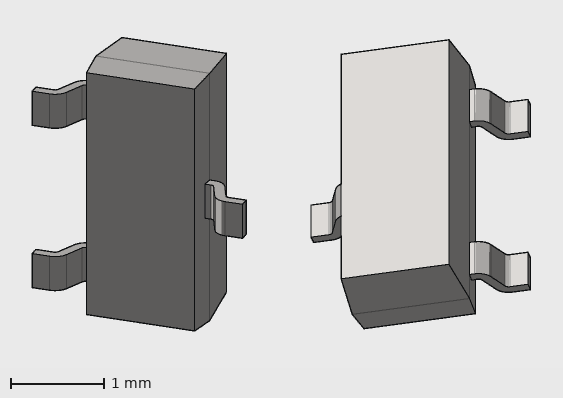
import cadquery as cq
import math

BODY_WIDTH = 1.3
BODY_LENGTH = 2.9
BODY_FRONT_Y = 0.1
PARTING_Y = 0.475
BODY_BACK_Y = 1.14
FRONT_INSET = 0.032
BACK_INSET = 0.052

LEAD_SPAN = 2.4
LEAD_WIDTH = 0.4
LEAD_THICKNESS = 0.12
LEAD_PITCH = 1.902
FOOT_LENGTH = 0.2
BEND_SPACING = 0.295
INNER_RADIUS = 0.05
OUTER_RADIUS = INNER_RADIUS + LEAD_THICKNESS

BEND_RISE = PARTING_Y - 2 * OUTER_RADIUS
LEG_LENGTH = math.sqrt(BEND_SPACING**2 + BEND_RISE**2 - (INNER_RADIUS + OUTER_RADIUS)**2)
LEG_ANGLE = math.atan2(BEND_RISE, BEND_SPACING) + math.atan2(INNER_RADIUS + OUTER_RADIUS, LEG_LENGTH)


def body_half(end_y, inset):
    """Loft from the parting plane to a smaller rectangle at end_y."""
    return (
        cq.Workplane("XZ", origin=(0, PARTING_Y, 0))
        .rect(BODY_WIDTH, BODY_LENGTH)
        .workplane(offset=PARTING_Y - end_y)
        .rect(BODY_WIDTH - 2 * inset, BODY_LENGTH - 2 * inset)
        .loft(ruled=True)
    )


def make_body():
    front_half = body_half(BODY_FRONT_Y, FRONT_INSET)
    back_half = body_half(BODY_BACK_Y, BACK_INSET)
    return front_half.union(back_half)


def bend_point(center, radius, angle, side):
    """Point on a bend; side is -1 for the foot bend and +1 for the shoulder bend."""
    return (
        center[0] - side * radius * math.sin(angle),
        center[1] + side * radius * math.cos(angle),
    )


def make_left_lead(center_z, body):
    """Lead on the -X side, ending flush against the tapered body wall."""
    tip_x = -LEAD_SPAN / 2
    foot_bend = (tip_x + FOOT_LENGTH, OUTER_RADIUS)
    shoulder_bend = (foot_bend[0] + BEND_SPACING, PARTING_Y - OUTER_RADIUS)
    inside_body_x = FRONT_INSET - BODY_WIDTH / 2
    half_angle = LEG_ANGLE / 2

    lead = (
        cq.Workplane("XY", origin=(0, 0, center_z))
        .moveTo(tip_x, 0)
        .lineTo(*bend_point(foot_bend, OUTER_RADIUS, 0, -1))
        .threePointArc(
            bend_point(foot_bend, OUTER_RADIUS, half_angle, -1),
            bend_point(foot_bend, OUTER_RADIUS, LEG_ANGLE, -1),
        )
        .lineTo(*bend_point(shoulder_bend, INNER_RADIUS, LEG_ANGLE, 1))
        .threePointArc(
            bend_point(shoulder_bend, INNER_RADIUS, half_angle, 1),
            bend_point(shoulder_bend, INNER_RADIUS, 0, 1),
        )
        .lineTo(inside_body_x, PARTING_Y - LEAD_THICKNESS)
        .lineTo(inside_body_x, PARTING_Y)
        .lineTo(*bend_point(shoulder_bend, OUTER_RADIUS, 0, 1))
        .threePointArc(
            bend_point(shoulder_bend, OUTER_RADIUS, half_angle, 1),
            bend_point(shoulder_bend, OUTER_RADIUS, LEG_ANGLE, 1),
        )
        .lineTo(*bend_point(foot_bend, INNER_RADIUS, LEG_ANGLE, -1))
        .threePointArc(
            bend_point(foot_bend, INNER_RADIUS, half_angle, -1),
            bend_point(foot_bend, INNER_RADIUS, 0, -1),
        )
        .lineTo(tip_x, LEAD_THICKNESS)
        .close()
        .extrude(LEAD_WIDTH / 2, both=True)
    )
    return lead.cut(body)


body = make_body()

leads = [make_left_lead(z, body) for z in (-LEAD_PITCH / 2, LEAD_PITCH / 2)]
leads.append(make_left_lead(0, body).mirror("YZ"))

result = cq.Compound.makeCompound([body.solids().val(), *[lead.solids().val() for lead in leads]])